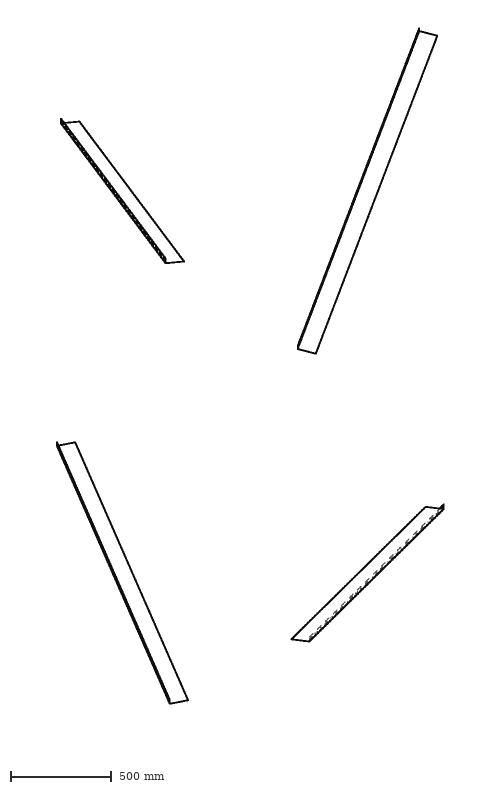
import cadquery as cq

LENGTH = 2000.0
WIDTH = 95.0
HEIGHT = 25.0
THICKNESS = 0.8

SLOT_LENGTH = 30.0
SLOT_HEIGHT = 7.0
SLOT_PITCH = 75.0
SLOT_COUNT = 27
SLOT_CENTER_Z = HEIGHT / 2


def make_angle():
    """L-section: a flat web on the bottom and a flange rising from its -Y edge."""
    section = [
        (0, 0),
        (WIDTH, 0),
        (WIDTH, THICKNESS),
        (THICKNESS, THICKNESS),
        (THICKNESS, HEIGHT),
        (0, HEIGHT),
    ]
    return cq.Workplane("YZ").polyline(section).close().extrude(LENGTH)


def make_slots():
    """Round-ended cutters through the flange, centred along the length."""
    return (
        cq.Workplane("XZ", origin=(LENGTH / 2, 0, SLOT_CENTER_Z))
        .rarray(SLOT_PITCH, 1, SLOT_COUNT, 1)
        .slot2D(SLOT_LENGTH, SLOT_HEIGHT)
        .extrude(-THICKNESS)
    )


result = make_angle().cut(make_slots())